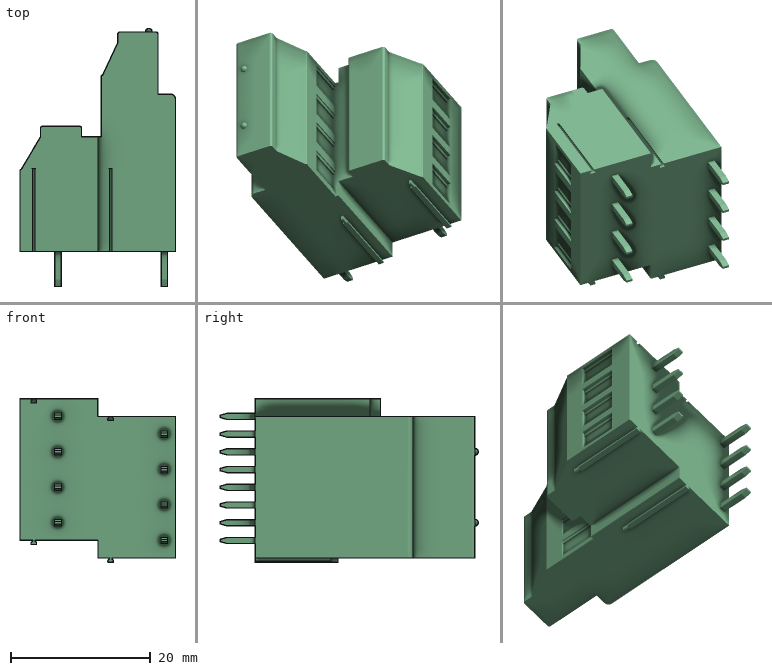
import cadquery as cq


poles = 4
pitch = 5.08
tier_width = 11.15
body_depth = 31.5
overlap = 0.05

tier_height = poles * pitch
front_z = 0.0
rear_z = front_z - pitch / 2
block_width = 2 * tier_width

front_nose_y = 11.8
front_crown_left = 2.93
front_crown_right = 8.85
front_crown_base_y = 16.45
front_top_y = 18.0
shelf_y = 16.5

rear_setback = 0.5
rear_wall_x = tier_width + rear_setback
rear_nose_y = 25.3
rear_crown_left = 14.0
rear_crown_right = 19.8
rear_crown_base_y = 29.95
shoulder_y = 22.6

nose_ledge = 0.18

nose_radius = 0.17
crown_radius = 0.35
shoulder_radius = 0.75

pocket_height = 3.8
window_height = 2.8
front_pocket_recess = 0.47
rear_pocket_recess = 0.15
window_recess = 0.25
front_pocket_y = (3.25, 8.8)
rear_pocket_y = (shelf_y, 22.3)

pin_width = 0.95
pin_thickness = 0.92
pin_length = 5.0
pin_taper = 1.0
pin_tip_thickness = 0.35
front_pin_x = 5.45
pin_row_spacing = 3 * pitch

front_rail_x = 1.99
rail_spacing = 11.0
rail_height = 0.6
rail_waist_height = 0.37
rail_neck = 0.36
rail_wide = 0.84
rail_foot = 0.8
rail_length = 11.92
rail_tip_length = 1.0

dome_radius = 0.5
dome_x = 18.46
dome_joints = (1, 3)


def box(x_span, y_span, z_span):
    """Axis-aligned box from three (low, high) spans."""
    spans = (x_span, y_span, z_span)
    size = [high - low for low, high in spans]
    corner = [low for low, high in spans]
    return cq.Workplane("XY").box(*size, centered=False).translate(tuple(corner))


def pole_centers(tier_z):
    """Heights of the pole centres of a tier, lowest first."""
    return [tier_z + (pole + 0.5) * pitch for pole in range(poles)]


def round_corner(body, corner, radius):
    """Round the upright edge nearest to an outline corner."""
    edge = cq.selectors.NearestToPointSelector((*corner, body.val().Center().z))
    return body.edges("|Z").edges(edge).fillet(radius)


def make_tier(points, rounding, tier_z):
    """Extrude a tier outline and round the listed corners."""
    tier = cq.Workplane("XY").polyline(points).close().extrude(tier_height)
    tier = tier.translate((0, 0, tier_z))
    for corner, radius in rounding:
        tier = round_corner(tier, corner, radius)
    return tier


def make_front_tier():
    nose = (0, front_nose_y)
    crown_left = (front_crown_left, front_top_y)
    crown_right = (front_crown_right, front_top_y)
    points = [
        (0, 0),
        nose,
        (nose_ledge, front_nose_y),
        (front_crown_left, front_crown_base_y),
        crown_left,
        crown_right,
        (front_crown_right, shelf_y),
        (tier_width, shelf_y),
        (tier_width, 0),
    ]
    rounding = [(nose, nose_radius), (crown_left, crown_radius), (crown_right, crown_radius)]
    return make_tier(points, rounding, front_z)


def make_rear_tier():
    nose = (rear_wall_x, rear_nose_y)
    crown_left = (rear_crown_left, body_depth)
    crown_right = (rear_crown_right, body_depth)
    shoulder = (block_width, shoulder_y)
    points = [
        (tier_width, 0),
        (tier_width, shelf_y),
        (rear_wall_x, shelf_y),
        nose,
        (rear_wall_x + nose_ledge, rear_nose_y),
        (rear_crown_left, rear_crown_base_y),
        crown_left,
        crown_right,
        (rear_crown_right, shoulder_y),
        shoulder,
        (block_width, 0),
    ]
    rounding = [
        (nose, nose_radius),
        (crown_left, crown_radius),
        (crown_right, crown_radius),
        (shoulder, shoulder_radius),
    ]
    return make_tier(points, rounding, rear_z)


def cut_pockets(body, wall_x, y_span, recess, tier_z):
    """Cut one stepped wire-entry pocket per pole into a -X wall."""
    pocket_floor = wall_x + recess
    steps = [(pocket_height, pocket_floor), (window_height, pocket_floor + window_recess)]
    for z in pole_centers(tier_z):
        for height, floor_x in steps:
            body = body.cut(box((wall_x, floor_x), y_span, (z - height / 2, z + height / 2)))
    return body


def make_pin(x, z):
    """Flat pin along -Y whose tip narrows in Z."""
    root = pin_thickness / 2
    tip = pin_tip_thickness / 2
    taper_y = pin_taper - pin_length
    points = [
        (overlap, -root),
        (overlap, root),
        (taper_y, root),
        (-pin_length, tip),
        (-pin_length, -tip),
        (taper_y, -root),
    ]
    pin = cq.Workplane("YZ").polyline(points).close().extrude(pin_width)
    return pin.translate((x - pin_width / 2, 0, z))


def make_dovetail(x, z, length):
    """Dovetail bar hanging below height z, starting flush with the pin face."""
    neck = rail_neck / 2
    wide = rail_wide / 2
    foot = rail_foot / 2
    points = [
        (-neck, overlap),
        (-neck, 0),
        (-wide, -rail_waist_height),
        (-foot, -rail_height),
        (foot, -rail_height),
        (wide, -rail_waist_height),
        (neck, 0),
        (neck, overlap),
    ]
    bar = cq.Workplane("XZ").polyline(points).close().extrude(-length)
    return bar.translate((x, 0, z))


def make_rail(x, z):
    """Dovetail rail below height z that ends in a plain tip of neck width."""
    tip_start = rail_length - rail_tip_length
    neck_span = (x - rail_neck / 2, x + rail_neck / 2)
    tip = box(neck_span, (tip_start - overlap, rail_length), (z - rail_height, z + overlap))
    return make_dovetail(x, z, tip_start).union(tip)


def make_dome(z):
    return cq.Workplane("XY").sphere(dome_radius).translate((dome_x, body_depth, z))


body = make_front_tier().union(make_rear_tier())
body = cut_pockets(body, 0, front_pocket_y, front_pocket_recess, front_z)
body = cut_pockets(body, rear_wall_x, rear_pocket_y, rear_pocket_recess, rear_z)

for rail_x, tier_z in [(front_rail_x, front_z), (front_rail_x + rail_spacing, rear_z)]:
    body = body.cut(make_dovetail(rail_x, tier_z + tier_height, rail_length))
    body = body.union(make_rail(rail_x, tier_z))

for pin_x, tier_z in [(front_pin_x, front_z), (front_pin_x + pin_row_spacing, rear_z)]:
    for pin_z in pole_centers(tier_z):
        body = body.union(make_pin(pin_x, pin_z))

for joint in dome_joints:
    body = body.union(make_dome(rear_z + joint * pitch))

result = body